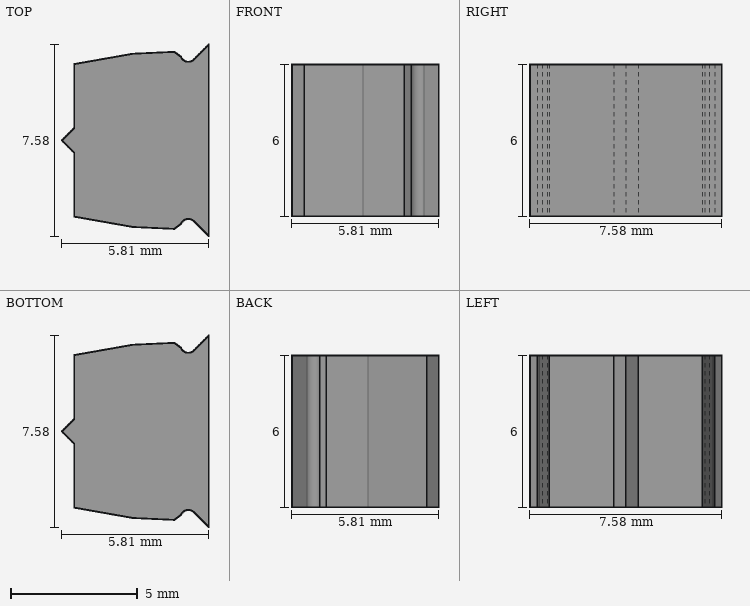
import cadquery as cq
import math

depth = 5.81
width = 7.58
height = 6.0

ridge_depth = 0.485

front_half_width = 3.02
knee_x = 2.805
knee_half_width = 3.425
shoulder_x = 4.44
shoulder_half_width = 3.5

groove_radius = 0.31
groove_center_x = 4.995
groove_start_x = 4.71

flare_angle = math.radians(45)
groove_end_x = groove_center_x + groove_radius * math.sin(flare_angle)
groove_end_y = width / 2 - (depth - groove_end_x) * math.tan(flare_angle)
groove_center_y = groove_end_y + groove_radius * math.cos(flare_angle)
groove_bottom_y = groove_center_y - groove_radius
groove_start_y = groove_center_y - math.sqrt(
    groove_radius**2 - (groove_center_x - groove_start_x) ** 2
)


def half_profile():
    """Closed outline of the +Y half, with the ridge tip at the origin."""
    return (
        cq.Workplane("XY")
        .moveTo(0, 0)
        .lineTo(ridge_depth, ridge_depth)
        .lineTo(ridge_depth, front_half_width)
        .lineTo(knee_x, knee_half_width)
        .lineTo(shoulder_x, shoulder_half_width)
        .lineTo(groove_start_x, groove_start_y)
        .threePointArc((groove_center_x, groove_bottom_y), (groove_end_x, groove_end_y))
        .lineTo(depth, width / 2)
        .lineTo(depth, 0)
        .close()
    )


half_body = half_profile().extrude(height)
result = half_body.union(half_body.mirror("XZ")).clean()